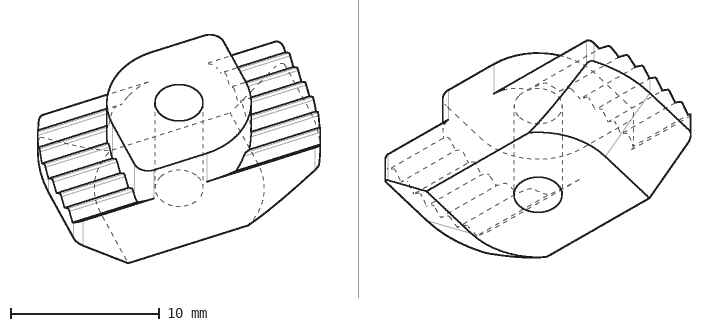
import cadquery as cq
import math

width = 9.7
length = 19.0
height = 8.8
half_width = width / 2
half_length = length / 2

end_wall_bottom = 3.78
bottom_half_length = half_length - end_wall_bottom
base_corner_radius = 0.5

boss_corner_radius = 1.0
hole_diameter = 3.23

valley_count = 7
pitch = 1.4
valley_height = 5.22
crest_radius = 0.19
sharp_crest_height = valley_height + pitch / 2
crest_height = sharp_crest_height - crest_radius * (math.sqrt(2) - 1)
crest_half_width = crest_radius * math.sin(math.radians(45))


def corner_edges(solid, x, y):
    """Return the vertical edges at (x, y) and at its half-turn partner."""
    reach = 0.002
    selector = cq.selectors.BoxSelector(
        (x - reach, y - reach, -height), (x + reach, y + reach, 2 * height)
    ) + cq.selectors.BoxSelector(
        (-x - reach, -y - reach, -height), (-x + reach, -y + reach, 2 * height)
    )
    return solid.edges("|Z").edges(selector)


def rounded_prism(arc_radius):
    """Full-height prism with arcs about the origin across two opposite quadrants."""
    side_y = math.sqrt(arc_radius**2 - half_width**2)
    middle_angle = (math.acos(half_width / arc_radius) + math.pi / 2) / 2
    arc_x = arc_radius * math.cos(middle_angle)
    arc_y = arc_radius * math.sin(middle_angle)
    return (
        cq.Workplane("XY")
        .moveTo(-half_width, arc_radius)
        .lineTo(0, arc_radius)
        .threePointArc((arc_x, arc_y), (half_width, side_y))
        .lineTo(half_width, -arc_radius)
        .lineTo(0, -arc_radius)
        .threePointArc((-arc_x, -arc_y), (-half_width, -side_y))
        .close()
        .extrude(height)
    )


def underside_envelope():
    """Flat slopes in the square quadrants, conical slopes in the round ones."""
    flat = (
        cq.Workplane("YZ")
        .moveTo(-bottom_half_length, 0)
        .lineTo(bottom_half_length, 0)
        .lineTo(half_length, end_wall_bottom)
        .lineTo(half_length, height)
        .lineTo(-half_length, height)
        .lineTo(-half_length, end_wall_bottom)
        .close()
        .extrude(half_width, both=True)
    )
    cone = (
        cq.Workplane("XZ")
        .lineTo(bottom_half_length, 0)
        .lineTo(half_length, end_wall_bottom)
        .lineTo(half_length, height)
        .lineTo(0, height)
        .close()
        .revolve(360, (0, 0, 0), (0, 1, 0))
    )
    quadrants = (
        cq.Workplane("XY")
        .pushPoints([(half_width / 2, half_length / 2), (-half_width / 2, -half_length / 2)])
        .rect(half_width, half_length)
        .extrude(height)
    )
    return flat.cut(quadrants).union(cone.intersect(quadrants))


def serrated_slab():
    """Slab reaching from the bottom up to the serrated surface."""
    last_valley = (valley_count // 2) * pitch
    outer_x = last_valley + pitch / 2
    profile = cq.Workplane("XZ").moveTo(-outer_x, 0).lineTo(-outer_x, sharp_crest_height)
    for index in range(valley_count):
        valley_x = index * pitch - last_valley
        profile = profile.lineTo(valley_x, valley_height)
        if index < valley_count - 1:
            crest_x = valley_x + pitch / 2
            flank_end = sharp_crest_height - crest_half_width
            profile = profile.lineTo(crest_x - crest_half_width, flank_end).threePointArc(
                (crest_x, crest_height), (crest_x + crest_half_width, flank_end)
            )
    profile = profile.lineTo(outer_x, sharp_crest_height).lineTo(outer_x, 0).close()
    return profile.extrude(half_length, both=True)


base = rounded_prism(half_length)
base_arc_end = math.sqrt(half_length**2 - half_width**2)
base = corner_edges(base, half_width, -half_length).fillet(base_corner_radius)
base = corner_edges(base, half_width, base_arc_end).fillet(base_corner_radius)
base = base.intersect(underside_envelope()).intersect(serrated_slab())

boss = rounded_prism(half_width)
boss = corner_edges(boss, half_width, -half_width).fillet(boss_corner_radius)
boss_root = cq.Workplane("XY").workplane(offset=end_wall_bottom)
boss = boss.intersect(boss_root.rect(width, width).extrude(height - end_wall_bottom))

hole = cq.Workplane("XY").circle(hole_diameter / 2).extrude(height)

result = base.union(boss).cut(hole)